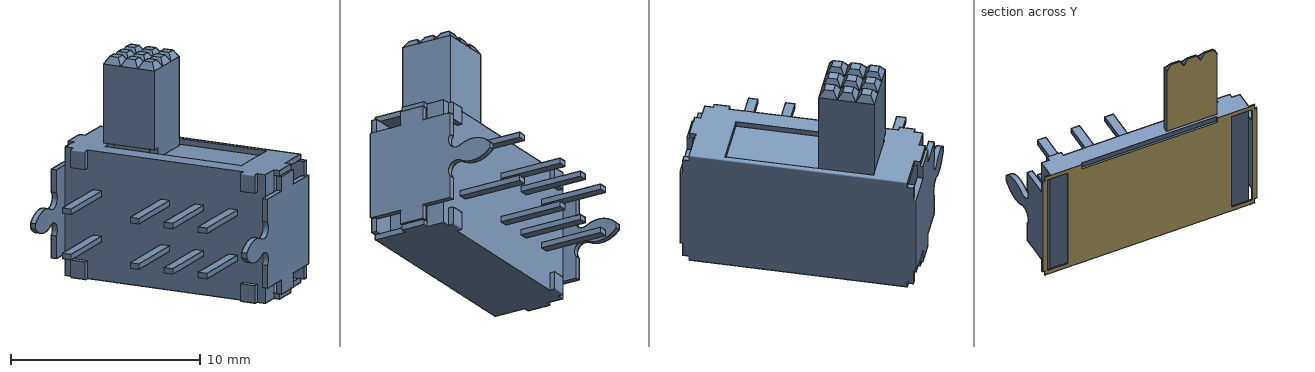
import cadquery as cq
import math


sheet = 0.3
bend_round = 0.1
back_round = 0.06
overall_length = 12.7
housing_length = 11.75
housing_depth = 4.29
housing_height = 7.1
mid_height = housing_height / 2

hollow_length = 1.02
hollow_front = 3.26

plate_inner = overall_length / 2 - sheet
plate_depth = 5.0
plate_height = 4.9
neck_back = 1.89
neck_front = 3.3
ear_front = 3.26
ear_reach = 6.21
inner_height = housing_height - 2 * sheet

tail_tip = 7.5
tail_tip_half = 0.15
tail_half = 0.64
tail_radius = 1.52
relief_radius = 0.51
relief_height = 0.89

tab_width = 0.84
tab_height = 1.0
tab_depth = 0.3
tab_spacing = 9.97

pin_pitch = 2.0
pin_columns = (-2, 0, 1, 2)
pin_row_spacing = 2.5
pin_width = 0.51
pin_thickness = 0.3
pin_end = 8.0

window_length = 8.0
window_width = 3.01
window_depth = 0.3

lever_width = 3.0
lever_left = -window_length / 2
lever_back = 0.53
lever_step = 0.25
lever_top = 12.1
grip_height = 0.4
grip_count = 3
grip_flat = 0.51
stem_front = 3.1
stem_rib_front = 3.19
stem_rib_width = 2.07


def block(x_range, y_range, z_range):
    """Box between the given limits on each axis."""
    lows, highs = zip(x_range, y_range, z_range)
    size = [high - low for low, high in zip(lows, highs)]
    return cq.Workplane("XY").box(*size, centered=False).translate(lows)


def housing():
    half = housing_length / 2
    body = block((-half, half), (-housing_depth, 0), (0, housing_height))
    body = body.faces(">Y").edges("|X").fillet(back_round)
    window = block(
        (-window_length / 2, window_length / 2),
        (-sheet - window_width, -sheet),
        (housing_height - window_depth, housing_height),
    )
    body = body.cut(window)
    hollow = block((half - hollow_length, half), (-hollow_front, -sheet), (sheet, sheet + inner_height))
    return body.cut(hollow).cut(hollow.mirror("YZ"))


def plate_blank():
    """Flat plate with its narrow neck, heights measured from the middle of the housing."""
    blank = (
        cq.Workplane("YZ")
        .rect(plate_depth, plate_height)
        .extrude(sheet)
        .translate((0, -plate_depth / 2, 0))
    )
    blank = blank.faces(">Y").edges("|X").fillet(back_round)
    neck = block((0, sheet), (-neck_front, -neck_back), (-inner_height / 2, inner_height / 2))
    return blank.union(neck)


def tail_and_reliefs():
    """Barbed tail swelling from a waist into a convex head, and the two round reliefs beside the waist."""
    crown_centre = tail_half - tail_radius
    tip_run = math.sqrt(tail_radius**2 - (tail_tip_half - crown_centre) ** 2)
    crown_y = -tail_tip + tip_run
    centre_rise = relief_height - crown_centre
    centre_run = math.sqrt((tail_radius + relief_radius) ** 2 - centre_rise**2)
    relief_y = crown_y + centre_run
    share = tail_radius / (tail_radius + relief_radius)
    tangent_y = crown_y + share * centre_run
    tangent_z = crown_centre + share * centre_rise
    head = (
        cq.Workplane("YZ")
        .moveTo(-neck_front, 0)
        .lineTo(-neck_front, relief_height)
        .lineTo(relief_y + relief_radius, relief_height)
        .threePointArc((relief_y, relief_height - relief_radius), (tangent_y, tangent_z))
        .threePointArc((crown_y, tail_half), (-tail_tip, tail_tip_half))
        .lineTo(-tail_tip, 0)
        .close()
        .extrude(sheet)
    )
    relief = cq.Workplane("YZ").center(relief_y, relief_height).circle(relief_radius).extrude(sheet)
    return head.union(head.mirror("XY")), relief.union(relief.mirror("XY"))


def end_plate():
    """Plate on the +X end with its tail, folded ears and the back strip that carries it."""
    head, reliefs = tail_and_reliefs()
    plate = plate_blank().cut(reliefs).union(head).translate((plate_inner, 0, mid_height))
    half = housing_length / 2
    strip = block((half - sheet, ear_reach), (-sheet, 0), (sheet, sheet + inner_height))
    plate = plate.union(strip)
    for z_low in (0, housing_height - sheet):
        ear = block((half - sheet, ear_reach), (-ear_front, -neck_back), (z_low, z_low + sheet))
        plate = plate.union(ear)
    return plate


def locking_tab():
    """Upper right tab, bent over at its top edge."""
    tab = block(
        ((tab_spacing - tab_width) / 2, (tab_spacing + tab_width) / 2),
        (-housing_depth - tab_depth, -housing_depth),
        (housing_height - tab_height, housing_height),
    )
    return tab.faces("<Y").edges(">Z").fillet(bend_round)


def locking_tabs():
    upper = locking_tab()
    upper = upper.union(upper.mirror("YZ"))
    return upper.union(upper.mirror("XY", (0, 0, mid_height)))


def pins():
    pin_centres = [
        (column * pin_pitch, mid_height + side * pin_row_spacing / 2)
        for column in pin_columns
        for side in (-1, 1)
    ]
    return (
        cq.Workplane("XZ", origin=(0, -housing_depth, 0))
        .pushPoints(pin_centres)
        .rect(pin_width, pin_thickness)
        .extrude(pin_end - housing_depth)
    )


def lever():
    middle = lever_left + lever_width / 2
    x_range = (lever_left, lever_left + lever_width)
    rib_range = (middle - stem_rib_width / 2, middle + stem_rib_width / 2)
    shoulder = housing_height + lever_step
    grip_base = lever_top - grip_height
    floor = housing_height - window_depth
    handle = block(x_range, (-lever_back - lever_width, -lever_back), (shoulder, grip_base))
    stem = block(x_range, (-stem_front, -lever_back), (floor, shoulder))
    rib = block(rib_range, (-stem_rib_front, -lever_back), (floor, shoulder))
    grip_pitch = lever_width / grip_count
    grip_taper = math.degrees(math.atan2((grip_pitch - grip_flat) / 2, grip_height))
    knob = cq.Workplane("XY").rect(grip_pitch, grip_pitch).extrude(grip_height, taper=grip_taper)
    body = handle.union(stem).union(rib)
    for column in range(grip_count):
        for row in range(grip_count):
            knob_x = lever_left + (column + 0.5) * grip_pitch
            knob_y = -lever_back - (row + 0.5) * grip_pitch
            body = body.union(knob.translate((knob_x, knob_y, grip_base)))
    return body


right_plate = end_plate()
result = (
    housing()
    .union(right_plate)
    .union(right_plate.mirror("YZ"))
    .union(locking_tabs())
    .union(pins())
    .union(lever())
)